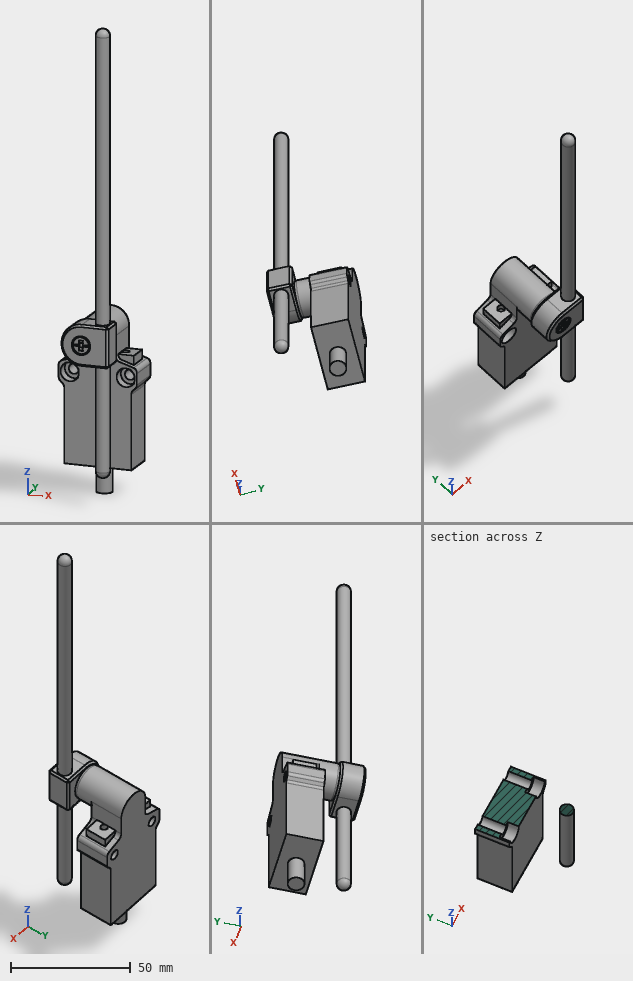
import cadquery as cq
import math


BODY_WIDTH = 30.0
BODY_DEPTH = 16.0
BODY_HEIGHT = 49.0
EAR_SPAN = 35.0
HEAD_WIDTH = 16.0
EAR_UNDERSIDE_Z = 34.0
EAR_SHOULDER_Z = 44.2
SHOULDER_ANGLE = 17.0
EAR_TOP_RADIUS = 2.3
EAR_BOTTOM_RADIUS = 2.5
HEAD_FILLET = 2.5
EAR_UNDERSIDE_FILLET = 2.0

MOUNT_HOLE_X = 12.5
MOUNT_HOLE_Z = 40.0
MOUNT_HOLE_DIAMETER = 4.5
MOUNT_BORE_DIAMETER = 8.13
MOUNT_BORE_DEPTH = 5.0

PAD_DEPTH = 10.0
PAD_HOLE_X = 9.5
PAD_HOLE_DIAMETER = 3.1
PAD_HOLE_DEPTH = 3.0

CABLE_DIAMETER = 7.0
CABLE_LENGTH = 12.73

SHAFT_RADIUS = HEAD_WIDTH / 2
SHAFT_Z = 58.0
SHAFT_LENGTH = 25.0
SHAFT_CHAMFER_LENGTH = 1.0
SHAFT_CHAMFER_DROP = 0.3

HUB_LENGTH = 10.92
HUB_RADIUS = 9.0
HUB_END_X = 12.05
HUB_CHAMFER = 0.9

SCREW_HOLE_DIAMETER = 8.13
SCREW_DIAMETER = 7.35
SCREW_GAP_DEPTH = 0.5
SLOT_WIDTH = 0.6
SLOT_DEPTH = 0.5
CROSS_WIDTH = 1.9
CROSS_LENGTH = 4.4
CROSS_DEPTH = 0.8
SOCKET_DEPTH = 1.2

ROD_DIAMETER = 6.1
ROD_X = 7.75
ROD_BOTTOM_Z = 0.0
TOTAL_HEIGHT = 207.73

BACK_Y = BODY_DEPTH / 2
BODY_FRONT_Y = -BODY_DEPTH / 2
SHAFT_END_Y = BACK_Y - SHAFT_LENGTH
HUB_FRONT_Y = SHAFT_END_Y - HUB_LENGTH
ROD_Y = SHAFT_END_Y - HUB_LENGTH / 2
ROD_TOP_Z = TOTAL_HEIGHT - CABLE_LENGTH
SIDES = (-1, 1)


def front_plane(y):
    """Sketch plane parallel to the front, with X right, Z up and its normal toward -Y."""
    return cq.Workplane("XZ", origin=(0, y, 0))


def round_corners(solid, corner, radius):
    """Round the outline corner at (x, z), and its mirror image, over the full depth."""
    x, z = corner
    for side in SIDES:
        solid = solid.edges(cq.NearestToPointSelector((side * x, 0, z))).fillet(radius)
    return solid


def make_housing():
    """Body with mounting ears, head, raised pads, shaft and cable, in one solid."""
    half_body = BODY_WIDTH / 2
    half_ears = EAR_SPAN / 2
    half_head = HEAD_WIDTH / 2
    ear_overhang = half_ears - half_body
    shoulder_rise = (half_ears - half_head) * math.tan(math.radians(SHOULDER_ANGLE))
    underside = (half_body, EAR_UNDERSIDE_Z)
    ear_bottom = (half_ears, EAR_UNDERSIDE_Z + ear_overhang)
    ear_top = (half_ears, EAR_SHOULDER_Z)
    head_root = (half_head, EAR_SHOULDER_Z + shoulder_rise)

    half_outline = [(half_body, 0), underside, ear_bottom, ear_top, head_root, (half_head, SHAFT_Z)]
    mirrored = [(-x, z) for x, z in reversed(half_outline)]
    housing = front_plane(BACK_Y).polyline(half_outline + mirrored).close().extrude(BODY_DEPTH)

    housing = round_corners(housing, underside, EAR_UNDERSIDE_FILLET)
    housing = round_corners(housing, ear_bottom, EAR_BOTTOM_RADIUS)
    housing = round_corners(housing, ear_top, EAR_TOP_RADIUS)
    housing = round_corners(housing, head_root, HEAD_FILLET)

    pads = (
        cq.Workplane("XY", origin=(0, 0, MOUNT_HOLE_Z))
        .rect(BODY_WIDTH, PAD_DEPTH)
        .extrude(BODY_HEIGHT - MOUNT_HOLE_Z)
    )
    shaft = (
        front_plane(BACK_Y)
        .center(0, SHAFT_Z)
        .circle(SHAFT_RADIUS)
        .extrude(SHAFT_LENGTH)
        .faces("<Y")
        .chamfer(SHAFT_CHAMFER_LENGTH, SHAFT_CHAMFER_DROP)
    )
    cable = cq.Workplane("XY").circle(CABLE_DIAMETER / 2).extrude(-CABLE_LENGTH)
    housing = housing.union(pads).union(shaft).union(cable)

    mount_points = [(side * MOUNT_HOLE_X, MOUNT_HOLE_Z) for side in SIDES]
    mount_holes = front_plane(BACK_Y).pushPoints(mount_points).circle(MOUNT_HOLE_DIAMETER / 2)
    housing = housing.cut(mount_holes.extrude(BODY_DEPTH))
    bores = front_plane(BODY_FRONT_Y).pushPoints(mount_points).circle(MOUNT_BORE_DIAMETER / 2)
    housing = housing.cut(bores.extrude(-MOUNT_BORE_DEPTH))

    pad_points = [(side * PAD_HOLE_X, 0) for side in SIDES]
    pad_plane = cq.Workplane("XY", origin=(0, 0, BODY_HEIGHT))
    pad_holes = pad_plane.pushPoints(pad_points).circle(PAD_HOLE_DIAMETER / 2)
    return housing.cut(pad_holes.extrude(-PAD_HOLE_DEPTH))


def make_rod():
    """Round rod with a hemispherical tip at both ends."""
    radius = ROD_DIAMETER / 2
    tip_bulge = radius * math.cos(math.radians(45))
    lower_centre = ROD_BOTTOM_Z + radius
    upper_centre = ROD_TOP_Z - radius
    return (
        cq.Workplane("XZ", origin=(ROD_X, ROD_Y, 0))
        .moveTo(0, ROD_BOTTOM_Z)
        .threePointArc((tip_bulge, lower_centre - tip_bulge), (radius, lower_centre))
        .lineTo(radius, upper_centre)
        .threePointArc((tip_bulge, upper_centre + tip_bulge), (0, ROD_TOP_Z))
        .close()
        .revolve(360, (0, 0), (0, 1))
    )


def make_hub():
    """D-shaped clamp around the rod, with a slotted cross-head screw in its front face."""
    hub = (
        front_plane(SHAFT_END_Y)
        .moveTo(0, SHAFT_Z + HUB_RADIUS)
        .lineTo(HUB_END_X, SHAFT_Z + HUB_RADIUS)
        .lineTo(HUB_END_X, SHAFT_Z - HUB_RADIUS)
        .lineTo(0, SHAFT_Z - HUB_RADIUS)
        .threePointArc((-HUB_RADIUS, SHAFT_Z), (0, SHAFT_Z + HUB_RADIUS))
        .close()
        .extrude(HUB_LENGTH)
        .faces("<Y or >Y or >X")
        .edges()
        .chamfer(HUB_CHAMFER)
    )

    front = front_plane(HUB_FRONT_Y).center(0, SHAFT_Z)
    gap = front.circle(SCREW_HOLE_DIAMETER / 2).circle(SCREW_DIAMETER / 2).extrude(-SCREW_GAP_DEPTH)
    slot = front.rect(SCREW_DIAMETER, SLOT_WIDTH).extrude(-SLOT_DEPTH)
    cross = front.rect(CROSS_WIDTH, CROSS_LENGTH).extrude(-CROSS_DEPTH)
    socket = front.rect(CROSS_WIDTH, CROSS_WIDTH).extrude(-SOCKET_DEPTH)
    rod_axis = cq.Workplane("XY", origin=(ROD_X, ROD_Y, 0))
    rod_hole = rod_axis.circle(ROD_DIAMETER / 2).extrude(ROD_TOP_Z)
    return hub.cut(gap).cut(slot).cut(cross).cut(socket).cut(rod_hole)


housing = make_housing()
hub = make_hub()
rod = make_rod()

result = cq.Compound.makeCompound([housing.val(), hub.val(), rod.val()])